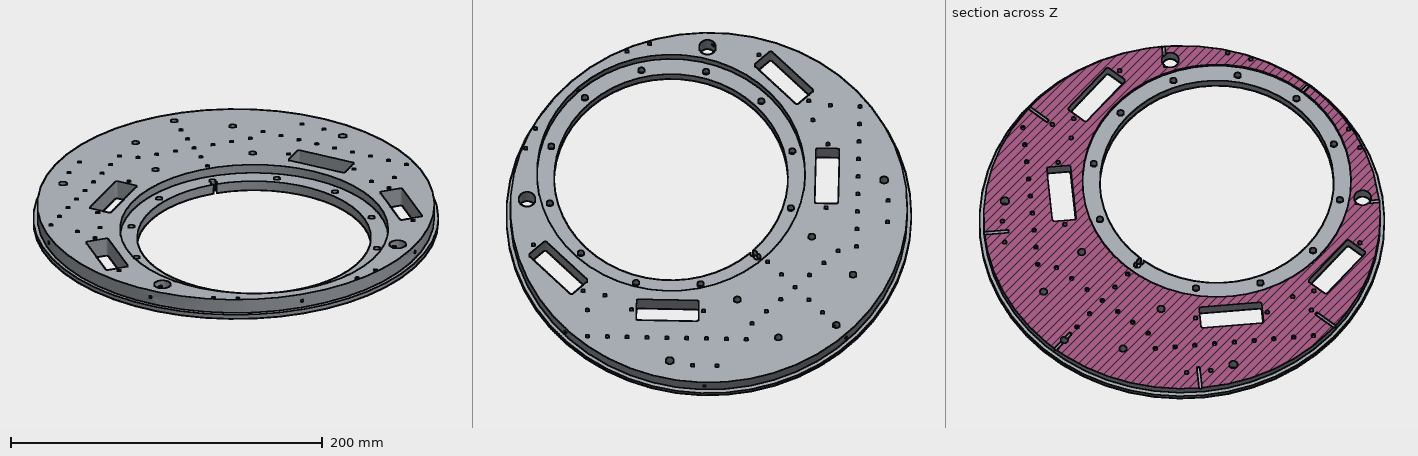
import cadquery as cq
import math

FLANGE_DIAMETER = 260.0
BODY_DIAMETER = 254.8
FLANGE_THICKNESS = 3.0
HEIGHT = 12.7

OPENING_X = 35.0
OPENING_DIAMETER = 150.0
RECESS_DIAMETER = 172.0
RECESS_FLOOR_Z = 6.8
RING_HOLE_COUNT = 12
RING_HOLE_RADIUS = 80.0
RING_HOLE_DIAMETER = 4.2

WINDOW_ANGLES = (90, 135, 225, 270)
WINDOW_RADIUS = 100.0
WINDOW_LENGTH = 40.0
WINDOW_WIDTH = 15.0
WINDOW_CORNER_RADIUS = 1.3
WINDOW_SCREW_OFFSET = 23.1
SCREW_DIAMETER = 2.25

PEG_DIAMETER = 2.25
PEG_DEPTH = 6.2
PEG_PITCH = 12.7
CROSS_X = -80.0
CROSS_COLUMN_COUNT = 7
CROSS_ROW_COUNT = 5
DIAGONAL_COUNT = 9
DIAGONAL_ANGLES = (135, 225)
DIAGONAL_RADIUS = 120.0

HEXAGON_HOLE_COUNT = 6
HEXAGON_RADIUS = 3 * PEG_PITCH
HEXAGON_HOLE_DIAMETER = 4.5

PAIR_HALF_SPACING = 7.8
RIM_PAIR_RADIUS = 125.0
RIM_PAIR_ANGLE = 22.5
RIM_PAIR_DIAMETER = 2.25
CORNER_PAIR_RADIUS = 115.0
CORNER_PAIR_ANGLE = 135
SIDE_PAIR_Y = WINDOW_RADIUS

CABLE_HOLE_X = 85.0
CABLE_HOLE_Y = 80.0
CABLE_HOLE_DIAMETER = 10.7
MOUNT_HOLE_X = -63.2
MOUNT_HOLE_Y = 95.2
MOUNT_HOLE_DIAMETER = 5.2

SIDE_HOLE_COUNT = 8
SIDE_HOLE_DIAMETER = 1.77
SIDE_HOLE_LENGTH = 15.5
SIDE_HOLE_Z = (FLANGE_THICKNESS + HEIGHT) / 2


def polar(radius, angle, center_x=0.0):
    """Point at a radius and an angle in degrees about (center_x, 0)."""
    turn = math.radians(angle)
    return (center_x + radius * math.cos(turn), radius * math.sin(turn))


def circle_of_points(count, radius, center_x):
    return [polar(radius, 360 / count * i, center_x) for i in range(count)]


def line_of_points(center, angle, offsets):
    """Points at signed offsets from a center, along a direction in degrees."""
    turn = math.radians(angle)
    return [(center[0] + d * math.cos(turn), center[1] + d * math.sin(turn)) for d in offsets]


def pitch_offsets(count):
    return [PEG_PITCH * (i - (count - 1) / 2) for i in range(count)]


def mirrored(points):
    """The points together with their mirror images across the X axis."""
    return points + [(x, -y) for x, y in points]


def drills(points, diameter, floor_z=0.0):
    """Vertical cylinders from floor_z up to the top face."""
    return (
        cq.Workplane("XY", origin=(0, 0, floor_z))
        .pushPoints(points)
        .circle(diameter / 2)
        .extrude(HEIGHT - floor_z)
    )


def disc():
    flange = cq.Workplane("XY").circle(FLANGE_DIAMETER / 2).extrude(FLANGE_THICKNESS)
    body = cq.Workplane("XY").circle(BODY_DIAMETER / 2).extrude(HEIGHT)
    return flange.union(body)


def window(angle):
    """Rounded rectangular cutter with its long side square to the radius at this angle."""
    cutter = (
        cq.Workplane("XY")
        .center(WINDOW_RADIUS, 0)
        .rect(WINDOW_WIDTH, WINDOW_LENGTH)
        .extrude(HEIGHT)
        .edges("|Z")
        .fillet(WINDOW_CORNER_RADIUS)
    )
    return cutter.rotate((0, 0, 0), (0, 0, 1), angle).translate((OPENING_X, 0, 0))


def side_hole(angle):
    """Horizontal cutter running inward from the side of the body."""
    inner_end = BODY_DIAMETER / 2 - SIDE_HOLE_LENGTH
    cutter = (
        cq.Workplane("YZ", origin=(inner_end, 0, SIDE_HOLE_Z))
        .circle(SIDE_HOLE_DIAMETER / 2)
        .extrude(SIDE_HOLE_LENGTH)
    )
    return cutter.rotate((0, 0, 0), (0, 0, 1), angle)


result = disc()

result = result.cut(drills([(OPENING_X, 0)], OPENING_DIAMETER))
result = result.cut(drills([(OPENING_X, 0)], RECESS_DIAMETER, RECESS_FLOOR_Z))
ring_points = circle_of_points(RING_HOLE_COUNT, RING_HOLE_RADIUS, OPENING_X)
result = result.cut(drills(ring_points, RING_HOLE_DIAMETER))

for window_angle in WINDOW_ANGLES:
    result = result.cut(window(window_angle))
    window_center = polar(WINDOW_RADIUS, window_angle, OPENING_X)
    screw_offsets = (-WINDOW_SCREW_OFFSET, WINDOW_SCREW_OFFSET)
    screw_points = line_of_points(window_center, window_angle + 90, screw_offsets)
    result = result.cut(drills(screw_points, SCREW_DIAMETER))

cross_center = (CROSS_X, 0)
peg_points = line_of_points(cross_center, 90, pitch_offsets(CROSS_COLUMN_COUNT))
peg_points += line_of_points(cross_center, 0, [d for d in pitch_offsets(CROSS_ROW_COUNT) if d != 0])
for diagonal_angle in DIAGONAL_ANGLES:
    diagonal_center = polar(DIAGONAL_RADIUS, diagonal_angle, OPENING_X)
    peg_points += line_of_points(diagonal_center, diagonal_angle + 90, pitch_offsets(DIAGONAL_COUNT))
result = result.cut(drills(peg_points, PEG_DIAMETER, HEIGHT - PEG_DEPTH))

hexagon_points = circle_of_points(HEXAGON_HOLE_COUNT, HEXAGON_RADIUS, CROSS_X)
result = result.cut(drills(hexagon_points, HEXAGON_HOLE_DIAMETER))

pair_offsets = (-PAIR_HALF_SPACING, PAIR_HALF_SPACING)
rim_pair = line_of_points(polar(RIM_PAIR_RADIUS, RIM_PAIR_ANGLE), RIM_PAIR_ANGLE + 90, pair_offsets)
result = result.cut(drills(mirrored(rim_pair), RIM_PAIR_DIAMETER))
corner_center = polar(CORNER_PAIR_RADIUS, CORNER_PAIR_ANGLE)
corner_pair = line_of_points(corner_center, CORNER_PAIR_ANGLE - 90, pair_offsets)
side_pair = line_of_points((0, SIDE_PAIR_Y), 90, pair_offsets)
result = result.cut(drills(mirrored(corner_pair + side_pair), SCREW_DIAMETER))

result = result.cut(drills(mirrored([(CABLE_HOLE_X, CABLE_HOLE_Y)]), CABLE_HOLE_DIAMETER))
result = result.cut(drills(mirrored([(MOUNT_HOLE_X, MOUNT_HOLE_Y)]), MOUNT_HOLE_DIAMETER))

for i in range(SIDE_HOLE_COUNT):
    result = result.cut(side_hole(360 / SIDE_HOLE_COUNT * i))